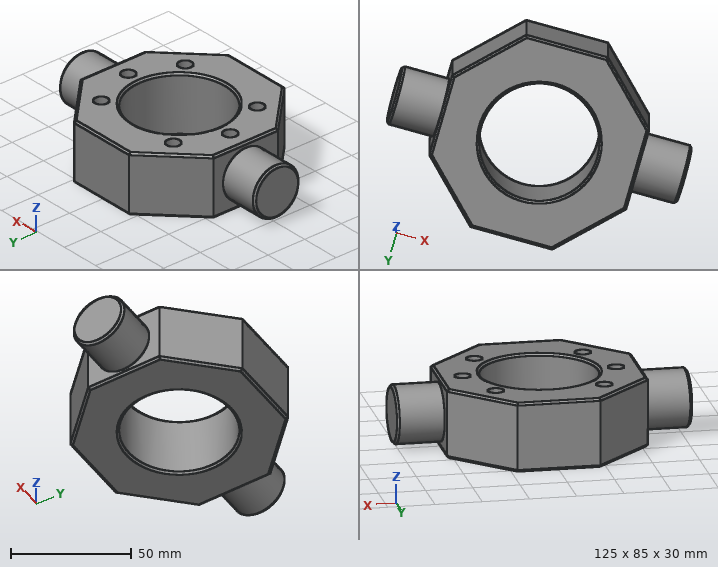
import cadquery as cq
import math

overall_length = 125.0
body_width = 85.0
body_height = 30.0
bore_diameter = 50.0
pin_diameter = 25.0
edge_chamfer = 1.0

hole_diameter = 6.8
hole_circle_radius = 32.5
hole_depth = 20.0
drill_point_angle = 118.0
hole_angles = (0, 45, 135, 180, 225, 315)


def make_body():
    """Chamfered octagonal ring, flats facing X and Y, centred on the origin."""
    corner_diameter = body_width / math.cos(math.pi / 8)
    octagon = (
        cq.Workplane("XY")
        .polygon(8, corner_diameter)
        .extrude(body_height / 2, both=True)
        .rotate((0, 0, 0), (0, 0, 1), 22.5)
    )
    ring = octagon.cut(
        cq.Workplane("XY").circle(bore_diameter / 2).extrude(body_height / 2, both=True)
    )
    return ring.faces("|Z").edges().chamfer(edge_chamfer)


def make_pin(side):
    """Trunnion pin on the -X (side=-1) or +X (side=1) flat."""
    pin_length = (overall_length - body_width) / 2
    return (
        cq.Workplane("YZ", origin=(side * body_width / 2, 0, 0))
        .circle(pin_diameter / 2)
        .extrude(side * pin_length)
        .faces(">X" if side > 0 else "<X")
        .chamfer(edge_chamfer)
    )


def make_drill(angle):
    """Cutting tool for one blind hole with a conical drill point."""
    radius = hole_diameter / 2
    point_length = radius / math.tan(math.radians(drill_point_angle / 2))
    center_x = hole_circle_radius * math.cos(math.radians(angle))
    center_y = hole_circle_radius * math.sin(math.radians(angle))
    return (
        cq.Workplane("XZ")
        .polyline([(0, 0), (radius, 0), (radius, -hole_depth), (0, -hole_depth - point_length)])
        .close()
        .revolve(360, (0, 0, 0), (0, 1, 0))
        .translate((center_x, center_y, body_height / 2))
    )


result = make_body()
for pin_side in (-1, 1):
    result = result.union(make_pin(pin_side))
for hole_angle in hole_angles:
    result = result.cut(make_drill(hole_angle))